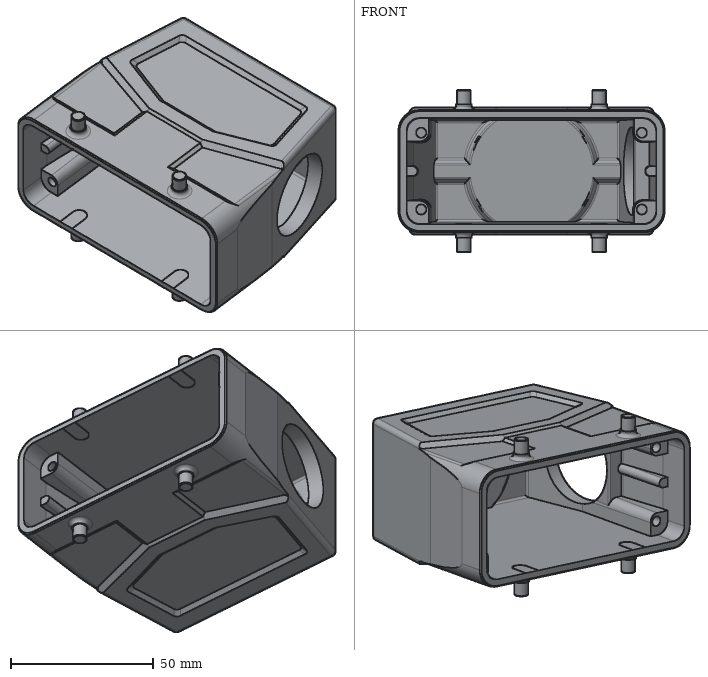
import cadquery as cq
import math


length = 76.0
half_width = 46.75
base_half_height = 42.9 / 2
hood_half_height = 22.3
base_corner_radius = 7.5
edge_radius = 1.9
rim_chamfer = 0.5

straight_end_y = 10.8
taper_break_y = 32.0
taper_break_x = 44.3
side_slope = math.tan(math.radians(10.6))

hood_edge_half = 12.4
hood_edge_y = 31.0
hood_edge_slope = 0.35
hood_step_taper = 50.0

panel_floor_z = 20.6
panel_taper = 60.0
panel_inner_x = 12.5
panel_front_y = 12.9
panel_edge_radius = 2.3

label_depth = 1.4
label_taper = 50.0
label_back_y = 68.1
label_side_y = 44.9
label_front_y = 36.65
label_back_half = 29.5
label_side_half = 34.0
label_front_half = 12.4
label_corner_radius = 2.8

pin_x = 23.75
pin_y = 6.3
pin_radius = 5.0 / 2
pin_tip_z = 28.5
pin_tip_chamfer = 0.3
collar_radius = 2.8
collar_top_z = 23.5
flare_radius = 1.5

wall = 2.9
rim_wall_z = 2.8
back_wall = 2.8
cavity_corner_radius = 4.7
cavity_draft = 0.7
cavity_floor_radius = 0.8

island_height = 2.8
island_taper = 30.0
island_edge_radius = 0.75
disc_radius = 23.7
bar_half_height = 4.2

post_x = 36.1
post_z = 10.5
post_front_y = 9.35
post_corner_radius = 3.0
post_draft = 0.9
screw_x = 38.7
screw_z = 13.5
screw_radius = 1.8
screw_depth = 14.0

rib_x = 41.7
rib_radius = 1.7
rib_draft = 0.4

entry_wall = 5.9
entry_pad_x = 35.8
entry_pad_front_y = 32.7
entry_pad_radius = 0.7
entry_radius = 15.4
entry_y = 49.6

slot_radius = 2.8
slot_end_y = 9.6

floor_y = length - back_wall
margin = 4.7


def side_x(y):
    """Half width of the outer shell at y, within the steep taper."""
    return taper_break_x - side_slope * (y - taper_break_y)


def hood_edge_at(x):
    """Y of the raised hood edge at a distance x from the middle."""
    return hood_edge_y + hood_edge_slope * (x - hood_edge_half)


def mirrored_plan(points):
    """Close a right-hand outline with its mirror image about X = 0."""
    return points + [(-x, y) for x, y in reversed(points)]


def plan_prism(points, half_height):
    return (cq.Workplane("XY").workplane(offset=-half_height)
            .polyline(points).close().extrude(2 * half_height))


def sunk_from(z, points, depth, taper):
    """Prism going down from height z; a positive taper narrows it, a negative one widens it."""
    upside_down = [(x, -y) for x, y in points]
    solid = cq.Workplane("XY").polyline(upside_down).close().extrude(depth, taper=taper)
    return solid.rotate((0, 0, 0), (1, 0, 0), 180).translate((0, 0, z))


def along_y(start_y):
    """Workplane at start_y whose extrusions run towards +Y (local Y is -Z)."""
    return cq.Workplane("XZ", origin=(0, start_y, 0)).transformed(rotate=(180, 0, 0))


def both_faces(solid):
    return solid.union(solid.mirror("XY"))


def both_sides(solid):
    return solid.union(solid.mirror("YZ"))


def side_panels():
    reach = half_width + margin
    outline = [
        (panel_inner_x, panel_front_y),
        (reach, panel_front_y),
        (reach, hood_edge_at(reach)),
        (panel_inner_x, hood_edge_at(panel_inner_x)),
    ]
    panel_depth = base_half_height - panel_floor_z
    panel = sunk_from(base_half_height, outline, panel_depth, panel_taper)
    return both_faces(both_sides(panel))


def round_panel_edges(base):
    """Round the long edges where the panel floors run out into the base corners."""
    corner_x = half_width - base_corner_radius
    corner_z = base_half_height - base_corner_radius
    edge_x = corner_x + math.sqrt(base_corner_radius ** 2 - (panel_floor_z - corner_z) ** 2)
    edge_y = (panel_front_y + hood_edge_at(edge_x)) / 2
    for x in (edge_x, -edge_x):
        for z in (panel_floor_z, -panel_floor_z):
            nearest = cq.selectors.NearestToPointSelector((x, edge_y, z))
            base = base.edges("|Y").edges(nearest).fillet(panel_edge_radius)
    return base


def outer_shell():
    plan = mirrored_plan([
        (half_width, 0),
        (half_width, straight_end_y),
        (taper_break_x, taper_break_y),
        (side_x(length), length),
    ])
    envelope = plan_prism(plan, hood_half_height)
    envelope = envelope.faces(">Z or <Z or >Y").edges("not <Y").fillet(edge_radius)

    base = (along_y(0).rect(2 * half_width, 2 * base_half_height).extrude(length)
            .edges("|Y").fillet(base_corner_radius)
            .faces("<Y").edges().chamfer(rim_chamfer))
    base = round_panel_edges(base.cut(side_panels()))

    reach = half_width + margin
    hood_outline = mirrored_plan([
        (hood_edge_half, hood_edge_y),
        (reach, hood_edge_at(reach)),
        (reach, length + margin),
    ])
    hood_drop = hood_half_height - panel_floor_z
    hood = sunk_from(hood_half_height, hood_outline, hood_drop, -hood_step_taper)
    return base.union(both_faces(hood)).intersect(envelope)


def label_recesses():
    outline = mirrored_plan([
        (label_front_half, label_front_y),
        (label_side_half, label_side_y),
        (label_back_half, label_back_y),
    ])
    recess = sunk_from(hood_half_height, outline, label_depth, label_taper)
    return both_faces(recess.edges("not #Z").fillet(label_corner_radius))


def pins():
    flare_x = collar_radius + flare_radius
    flare_top_z = base_half_height + flare_radius
    arc_offset = flare_radius * (1 - math.sqrt(0.5))
    root_z = base_half_height - rim_wall_z / 2
    pin = (cq.Workplane("XZ")
           .moveTo(0, root_z)
           .lineTo(flare_x, root_z)
           .lineTo(flare_x, base_half_height)
           .threePointArc((collar_radius + arc_offset, base_half_height + arc_offset),
                          (collar_radius, flare_top_z))
           .lineTo(collar_radius, collar_top_z)
           .lineTo(pin_radius, collar_top_z)
           .lineTo(pin_radius, pin_tip_z - pin_tip_chamfer)
           .lineTo(pin_radius - pin_tip_chamfer, pin_tip_z)
           .lineTo(0, pin_tip_z)
           .close()
           .revolve(360, (0, 0), (0, 1))
           .translate((pin_x, pin_y, 0)))
    return both_faces(both_sides(pin))


def floor_island():
    base = cq.Workplane("XZ", origin=(0, floor_y, 0))
    disc = base.circle(disc_radius).extrude(island_height, taper=island_taper)
    bar = (base.rect(2 * half_width, 2 * bar_half_height)
           .extrude(island_height, taper=island_taper))
    disc = disc.faces("<Y").edges().fillet(island_edge_radius)
    bar = bar.faces("<Y").edges("|X").fillet(island_edge_radius)
    return disc.union(bar)


def entry_pad():
    """Thickened +X wall around the cable entry."""
    slope_start_y = taper_break_y + (taper_break_x - entry_wall - entry_pad_x) / side_slope
    plan = [
        (half_width, entry_pad_front_y),
        (entry_pad_x, entry_pad_front_y),
        (entry_pad_x, slope_start_y),
        (side_x(length) - entry_wall, length),
        (half_width, length),
    ]
    pad = plan_prism(plan, hood_half_height)
    return pad.edges("|Z and <Y and (not >X)").fillet(entry_pad_radius)


def cavity_space():
    half_x = half_width - wall
    half_z = base_half_height - rim_wall_z
    tunnel = (along_y(0)
              .sketch().rect(2 * half_x, 2 * half_z).vertices().fillet(cavity_corner_radius)
              .finalize().extrude(floor_y, taper=cavity_draft))
    plan = mirrored_plan([
        (half_x, 0),
        (half_x, straight_end_y),
        (taper_break_x - wall, taper_break_y),
        (side_x(floor_y) - wall, floor_y),
    ])
    space = tunnel.intersect(plan_prism(plan, half_z)).cut(entry_pad()).cut(floor_island())
    return space.faces(">Y").edges().fillet(cavity_floor_radius)


def screw_posts():
    size = 2 * (half_width - post_x)
    post = (along_y(post_front_y)
            .center(post_x + size / 2, -post_z - size / 2)
            .sketch().rect(size, size).vertices().fillet(post_corner_radius)
            .finalize().extrude(length, taper=-post_draft))
    screw_hole = (along_y(post_front_y)
                  .center(screw_x, -screw_z)
                  .circle(screw_radius)
                  .extrude(screw_depth))
    return both_faces(both_sides(post.cut(screw_hole)))


def guide_ribs():
    reach = 4 * rib_radius
    rib = (along_y(post_front_y)
           .center(rib_x - rib_radius + reach / 2, 0)
           .slot2D(reach, 2 * rib_radius)
           .extrude(length, taper=-rib_draft))
    return both_sides(rib)


def cable_entry():
    """Round hole square to the sloping +X wall."""
    inner_centre = cq.Vector(side_x(entry_y) - entry_wall, entry_y, 0)
    outward = cq.Vector(1, side_slope, 0).normalized()
    start = inner_centre - outward * entry_wall
    reach = 4 * entry_wall
    return cq.Workplane(cq.Solid.makeCylinder(entry_radius, reach, start, outward))


def pin_slots():
    slot = (cq.Workplane("XY", origin=(pin_x, 0, 0))
            .moveTo(-slot_radius, 0)
            .lineTo(-slot_radius, slot_end_y - slot_radius)
            .threePointArc((0, slot_end_y), (slot_radius, slot_end_y - slot_radius))
            .lineTo(slot_radius, 0)
            .close()
            .extrude(base_half_height - rim_wall_z))
    return both_faces(both_sides(slot))


cavity = cavity_space()
for filling in (screw_posts(), guide_ribs()):
    cavity = cavity.cut(filling)

result = (outer_shell()
          .cut(label_recesses())
          .union(pins())
          .cut(cavity)
          .cut(cable_entry())
          .cut(pin_slots()))